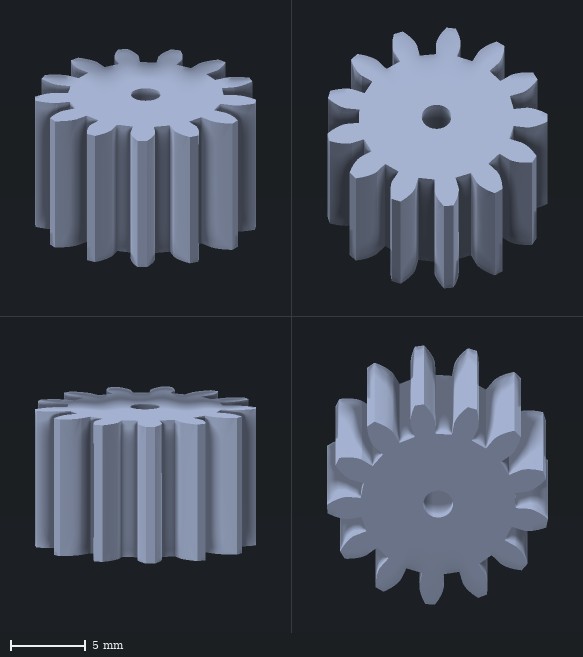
import cadquery as cq
import math

overall_width = 14.95
face_width = 9.37
bore_diameter = 2.0
tooth_count = 13
pressure_angle = math.radians(20)
addendum_factor = 1.0
dedendum_factor = 1.25
flank_intervals = 6


def involute_angle(angle):
    """Polar angle of an involute where its pressure angle is `angle`."""
    return math.tan(angle) - angle


tooth_pitch = 2 * math.pi / tooth_count
base_half_angle = tooth_pitch / 4 + involute_angle(pressure_angle)
tip_ratio = 1 + 2 * addendum_factor / tooth_count
tip_pressure_angle = math.acos(math.cos(pressure_angle) / tip_ratio)
tip_half_angle = base_half_angle - involute_angle(tip_pressure_angle)

tip_corner_lean = tooth_pitch / 4 - tip_half_angle
tip_radius = overall_width / 2 / math.cos(tip_corner_lean)
pitch_radius = tip_radius / tip_ratio
module = 2 * pitch_radius / tooth_count
base_radius = pitch_radius * math.cos(pressure_angle)
root_radius = pitch_radius - dedendum_factor * module


def polar_point(radius, angle):
    return (radius * math.cos(angle), radius * math.sin(angle))


def involute_flank(centre_angle, side):
    """Points up one flank, closer together near the base circle; side is -1 or +1."""
    points = []
    for i in range(flank_intervals + 1):
        radius = base_radius + (tip_radius - base_radius) * (i / flank_intervals) ** 2
        half_angle = base_half_angle - involute_angle(math.acos(base_radius / radius))
        points.append(polar_point(radius, centre_angle + side * half_angle))
    return points


def add_tooth(outline, centre_angle):
    """Continue the outline over one tooth, from its first root corner to its last."""
    rising = involute_flank(centre_angle, -1)
    falling = involute_flank(centre_angle, 1)[::-1]
    return (
        outline.lineTo(*rising[0])
        .spline(rising[1:], includeCurrent=True)
        .lineTo(*falling[0])
        .spline(falling[1:], includeCurrent=True)
        .lineTo(*polar_point(root_radius, centre_angle + base_half_angle))
    )


outline = cq.Workplane("XY").moveTo(*polar_point(root_radius, -base_half_angle))
for tooth in range(tooth_count):
    centre_angle = tooth * tooth_pitch
    if tooth > 0:
        outline = outline.lineTo(*polar_point(root_radius, centre_angle - base_half_angle))
    outline = add_tooth(outline, centre_angle)
gear = outline.close().extrude(face_width)

result = gear.cut(cq.Workplane("XY").circle(bore_diameter / 2).extrude(face_width))